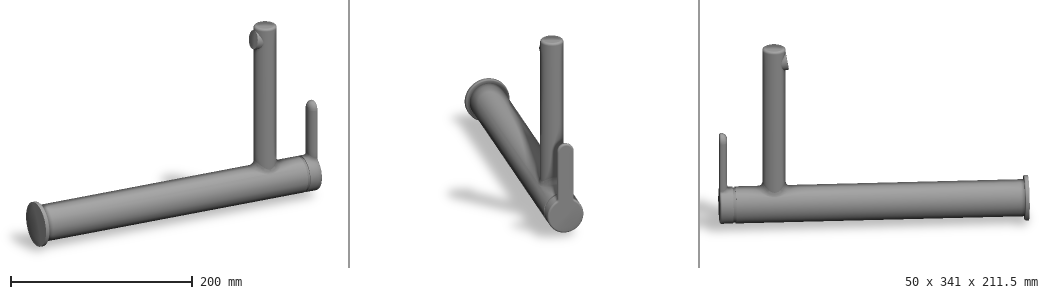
import cadquery as cq
import math

total_length = 341.0
spout_top_z = 186.5

flange_diameter = 50.0
flange_radius = flange_diameter / 2
flange_thickness = 4.8
flange_fillet = 1.5

tube_radius = 20.5
tube_end_y = 323.0
spout_diameter = 25.5
spout_radius = spout_diameter / 2
spout_y = 280.5
spout_top_fillet = 2.7
spout_root_fillet = 6.0

nozzle_radius = 10.5
nozzle_tilt = 10.0
nozzle_length = 10.2
nozzle_drop = 15.0
nozzle_reach = 1.7

neck_radius = 19.5
neck_length = 3.0

cap_front_y = tube_end_y + neck_length
cap_back_fillet = 2.0
lever_top_z = 85.5
lever_half_width = 9.2
lever_depth = 8.5
lever_edge_radius = 6.0
lever_root_fillet = 3.0

edge_margin = 0.5


def rod(radius, start_y, end_y):
    """Solid cylinder on the main axis between two Y positions."""
    return cq.Workplane("XZ", origin=(0, start_y, 0)).circle(radius).extrude(start_y - end_y)


def make_flange():
    flange = rod(flange_radius, 0, flange_thickness)
    return flange.faces(">Y").edges().fillet(flange_fillet)


def make_nozzle():
    tilt = math.radians(nozzle_tilt)
    face_centre = cq.Vector(0, spout_y - spout_radius - nozzle_reach, spout_top_z - nozzle_drop)
    inward = cq.Vector(0, math.cos(tilt), -math.sin(tilt))
    return cq.Workplane(cq.Solid.makeCylinder(nozzle_radius, nozzle_length, face_centre, inward))


def make_tube_with_spout(nozzle):
    tube = rod(tube_radius, flange_thickness, tube_end_y)
    spout = cq.Workplane("XY").center(0, spout_y).circle(spout_radius).extrude(spout_top_z)
    spout = spout.faces(">Z").edges().fillet(spout_top_fillet)
    joined = tube.union(spout)

    root_zone = cq.selectors.BoxSelector(
        (-tube_radius, spout_y - tube_radius, 0),
        (tube_radius, spout_y + tube_radius, tube_radius),
    )
    joined = joined.edges(root_zone).fillet(spout_root_fillet)
    return joined.cut(nozzle)


def lever_half_section():
    """Right half of the lever's cross-section, set at the centre of its round top."""
    side_end_y = total_length - lever_depth + lever_edge_radius
    front_half_width = lever_half_width - lever_edge_radius
    arc_offset = lever_edge_radius * math.sqrt(0.5)
    front_y = total_length - lever_depth
    return (
        cq.Workplane("XY", origin=(0, 0, lever_top_z - lever_half_width))
        .moveTo(0, total_length)
        .lineTo(lever_half_width, total_length)
        .lineTo(lever_half_width, side_end_y)
        .threePointArc(
            (front_half_width + arc_offset, side_end_y - arc_offset),
            (front_half_width, front_y),
        )
        .lineTo(0, front_y)
        .close()
    )


def make_lever():
    """Upright bar with a flat back, rounded front edges and a round top."""
    half_bar = lever_half_section().extrude(lever_half_width - lever_top_z)
    bar = half_bar.union(half_bar.mirror("YZ"))
    round_top = lever_half_section().revolve(180, (0, 0, 0), (0, -1, 0))
    return bar.union(round_top)


def make_handle():
    cap = rod(tube_radius, cap_front_y, total_length)
    handle = cap.union(make_lever())

    root_zone = cq.selectors.BoxSelector(
        (-lever_half_width - edge_margin, total_length - lever_depth - edge_margin, 0),
        (lever_half_width + edge_margin, total_length - edge_margin, tube_radius + edge_margin),
    )
    handle = handle.edges(root_zone).fillet(lever_root_fillet)

    back_edges = handle.faces(">Y").edges("%CIRCLE").vals()
    cap_rim = [edge for edge in back_edges if edge.radius() > lever_half_width + edge_margin]
    return handle.newObject(cap_rim).fillet(cap_back_fillet)


nozzle = make_nozzle()
flange = make_flange()
tube = make_tube_with_spout(nozzle)
neck = rod(neck_radius, tube_end_y, cap_front_y)
handle = make_handle()
result = cq.Compound.makeCompound([flange.val(), tube.val(), nozzle.val(), neck.val(), handle.val()])